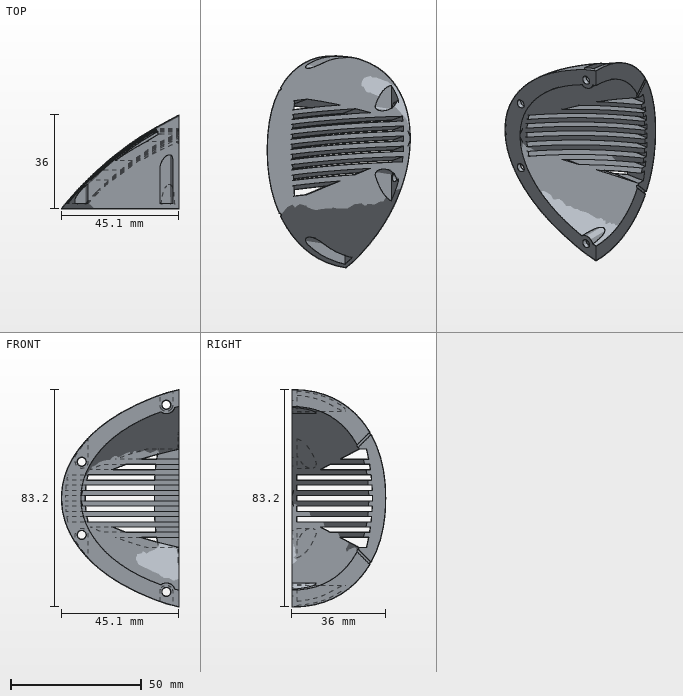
import cadquery as cq
import math

length = 45.1
depth = 36.0
half_height = 41.6

crown_centre_x = 101.2
nose_bluntness = 55.6
rim_width = 7.5
cavity_bluntness = 48.3
cavity_half_height = 35.1
cavity_overrun = 0.8

nose_exponent = 2.0
end_exponent = 2.2
nose_flat = 0.03
section_count = 7
points_per_section = 8

end_screw = (40.2, 35.8)
nose_screw = (7.8, 14.0)
hole_diameter = 3.3
head_diameter = 5.0
head_floor = 2.0
boss_diameter = 6.8

slot_height = 2.0
slot_pitch = 4.0
slot_count = 7
window_crown = 30.8
window_corner = (28.6, 18.8)
window_shoulder = (25.8, 18.8)
window_waist = (11.0, 11.0)

pin_diameter = 1.0
pin_outer = (30.4, 25.15)
pin_angle = 45.0
pin_length = 11.65
pin_overrun = 2.5

crown_centre_y = (length**2 + depth**2 - 2 * length * crown_centre_x) / (2 * depth)


def crown_height(x, nose_x):
    """Height of the crown arc that meets the rim plane at nose_x."""
    radius = math.hypot(crown_centre_x - nose_x, crown_centre_y)
    return math.sqrt(radius**2 - (crown_centre_x - x) ** 2) + crown_centre_y


def rim_half_height(x, nose_x, bluntness, end_half_height):
    """Elliptical rim outline, reaching end_half_height at the cut end."""
    run = length - nose_x
    taper = (bluntness - end_half_height**2 / run) / run
    return math.sqrt((x - nose_x) * (bluntness - taper * (x - nose_x)))


def section(x, half_z, crown_y):
    """Upper quarter of a superellipse, closed along the rim plane and mid-plane."""
    exponent = nose_exponent + (end_exponent - nose_exponent) * x / length
    points = []
    for i in range(points_per_section + 1):
        angle = math.pi / 2 * i / points_per_section
        across = abs(math.cos(angle)) ** (2 / exponent)
        up = abs(math.sin(angle)) ** (2 / exponent)
        points.append(cq.Vector(x, crown_y * up, half_z * across))
    points[0] = cq.Vector(x, 0, half_z)
    points[-1] = cq.Vector(x, crown_y, 0)
    curve = cq.Edge.makeSpline(points)
    middle = cq.Edge.makeLine(points[-1], cq.Vector(x, 0, 0))
    rim = cq.Edge.makeLine(cq.Vector(x, 0, 0), points[0])
    return cq.Wire.assembleEdges([curve, middle, rim])


def dome(nose_x, bluntness, end_half_height, end_x):
    """Upper half lofted with sections crowded towards the nose, then mirrored."""
    wires = []
    for i in range(section_count):
        step = i / (section_count - 1)
        x = nose_x + nose_flat + (end_x - nose_x - nose_flat) * step**2
        half_z = rim_half_height(x, nose_x, bluntness, end_half_height)
        wires.append(section(x, half_z, crown_height(x, nose_x)))
    upper = cq.Workplane(cq.Solid.makeLoft(wires))
    return upper.union(upper.mirror("XY"))


def rim_cylinder(centre, diameter, start_y):
    """Cylinder along +Y standing on the plane Y = start_y."""
    x, z = centre
    axis = cq.Vector(0, 1, 0)
    return cq.Workplane(cq.Solid.makeCylinder(diameter / 2, depth, cq.Vector(x, start_y, z), axis))


def head_slot(centre):
    """Round-bottomed screw head recess, open away from the part's middle."""
    x, z = centre
    outward = math.copysign(half_height, z)
    channel = cq.Workplane("XY").box(head_diameter, depth, half_height)
    channel = channel.translate((x, head_floor + depth / 2, z + outward / 2))
    return rim_cylinder(centre, head_diameter, head_floor).union(channel)


def grille():
    """Horizontal slots clipped to the window outline."""
    crown_y, crown_z = window_corner
    shoulder_y, shoulder_z = window_shoulder
    waist_y, waist_z = window_waist
    slope = (shoulder_z - waist_z) / (shoulder_y - waist_y)
    base_z = waist_z - slope * (waist_y - head_floor)
    full_slot_z = slot_pitch * 2 + slot_height / 2
    window = (
        cq.Workplane("YZ")
        .moveTo(head_floor, base_z)
        .lineTo(shoulder_y, shoulder_z)
        .lineTo(crown_y, crown_z)
        .threePointArc((window_crown, 0), (crown_y, -crown_z))
        .lineTo(shoulder_y, -shoulder_z)
        .lineTo(head_floor, -base_z)
        .close()
        .extrude(length)
    )
    middle = (
        cq.Workplane("YZ")
        .rect(2 * waist_y, 2 * full_slot_z)
        .extrude(length)
        .translate((0, head_floor + waist_y, 0))
    )
    slots = (
        cq.Workplane("YZ")
        .rarray(0.8, slot_pitch, 1, slot_count)
        .rect(2 * depth, slot_height)
        .extrude(length)
    )
    corner_start = slot_pitch * (slot_count + 1) / 2 - slot_height / 2
    corner = cq.Workplane("XY").box(length, 2 * depth, crown_z)
    for side in (1, -1):
        slots = slots.union(corner.translate((length / 2, 0, side * (corner_start + crown_z / 2))))
    return window.union(middle).intersect(slots)


def pin_groove(side):
    """Pin hole square to the wall, halved by the cut end."""
    y, z = pin_outer
    inward = cq.Vector(0, -math.sin(math.radians(pin_angle)), -side * math.cos(math.radians(pin_angle)))
    start = cq.Vector(length, y, side * z) - inward * pin_overrun
    return cq.Workplane(cq.Solid.makeCylinder(pin_diameter / 2, pin_length, start, inward))


outer = dome(0, nose_bluntness, half_height, length)
cavity = dome(rim_width, cavity_bluntness, cavity_half_height, length + cavity_overrun)
result = outer.cut(cavity)

for side in (1, -1):
    boss = rim_cylinder((end_screw[0], side * end_screw[1]), boss_diameter, 0)
    result = result.union(boss.intersect(outer))

for side in (1, -1):
    for x, z in (end_screw, nose_screw):
        centre = (x, side * z)
        result = result.cut(rim_cylinder(centre, hole_diameter, 0))
        result = result.cut(head_slot(centre))
    result = result.cut(pin_groove(side))

result = result.cut(grille())